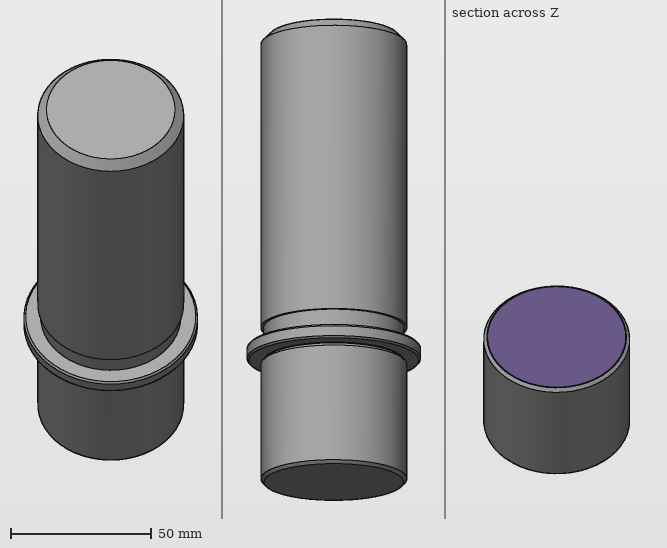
import cadquery as cq

total_height = 165.0
shank_height = 44.7
undercut_height = 0.3
flange_thickness = 5.0
neck_height = 7.1

pin_diameter = 52.1
neck_diameter = 50.2
undercut_diameter = 49.5
flange_diameter = 62.0

tip_chamfer = 3.1
shank_chamfer = 1.2
flange_chamfer = 0.7

flange_bottom = shank_height + undercut_height
neck_bottom = flange_bottom + flange_thickness
body_bottom = neck_bottom + neck_height


def cylinder(bottom, top, diameter):
    """Vertical cylinder centred on the Z axis between two heights."""
    return cq.Workplane("XY").workplane(offset=bottom).circle(diameter / 2).extrude(top - bottom)


shank = cylinder(0, shank_height, pin_diameter)
shank = shank.faces("<Z or >Z").chamfer(shank_chamfer)

undercut = cylinder(shank_height, flange_bottom, undercut_diameter)

flange = cylinder(flange_bottom, neck_bottom, flange_diameter)
flange = flange.faces("<Z or >Z").chamfer(flange_chamfer)

neck = cylinder(neck_bottom, body_bottom, neck_diameter)

body = cylinder(body_bottom, total_height, pin_diameter)
body = body.faces(">Z").chamfer(tip_chamfer)

result = shank.union(undercut).union(flange).union(neck).union(body)